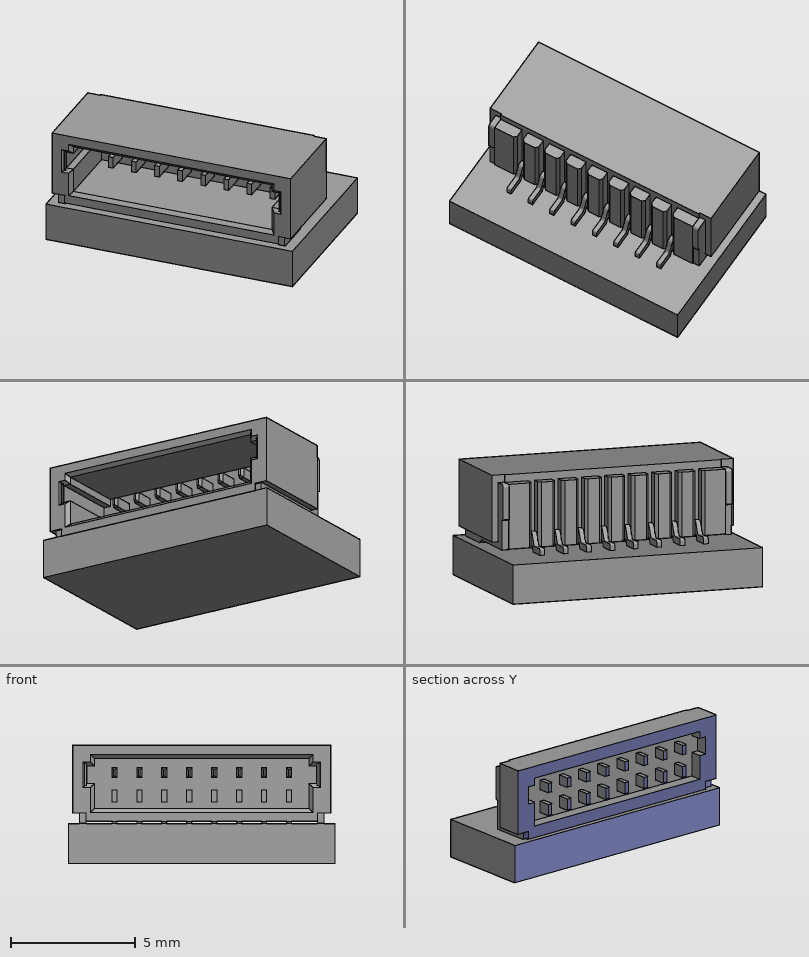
import cadquery as cq

board_width = 10.67
board_depth = 6.84
board_top = 1.6

housing_top = 4.74
housing_front = -3.19
housing_half_width = 5.16
core_half_width = 4.63
core_bottom = 1.69
core_back = 0.62
wing_bottom = 2.02
wing_back = 0.55
rear_wall_back = 1.09
rear_wall_bottom = 1.79
rear_wall_top = 4.43

mouth_half_width = 4.45
mouth_bottom = 2.05
mouth_top = 4.36
key_half_width = 4.75
key_bottom = 3.05
key_top = 4.07
flare = 0.15
key_step_inset = 0.06
key_step_depth = 0.13
cavity_back = -0.1

contact_count = 8
contact_span = 7.0
contact_pitch = contact_span / (contact_count - 1)
contact_width = 0.2
upper_pin_bottom = 3.44
upper_pin_top = 3.84
lower_pin_bottom = 2.46
lower_pin_top = 2.95
pin_tip = -1.07
pin_taper_length = 0.16
pin_taper_inset = 0.06
groove_width = 0.28
groove_flare = 0.12
foot_end = 1.86
foot_thickness = 0.27
foot_edge_radius = 0.09
heel = 1.1
bend_start = 1.28
bend_length = 0.11
bend_rise = 0.06
leg_slope = 2.0
crown_start = 0.99
crown_flat_back = 0.82
crown_flat_front = 0.79
crown_rise = 0.11
crown_radius = 0.21
crown_drop = 0.17
underside_rise = 0.11

tab_width = 0.27
tab_back = 1.12
tab_waist_back = 1.02
tab_waist_top = 3.01
tab_bottom = 1.75
tab_foot_back = -1.55
tab_foot_ramp = 0.22
tab_front = -3.17
tab_top_radius = 0.14
tab_front_radius = 0.09


def box(x_range, y_range, z_range):
    """Box between the given limits along each axis."""
    size = [high - low for low, high in (x_range, y_range, z_range)]
    corner = (x_range[0], y_range[0], z_range[0])
    return cq.Workplane("XY").box(*size, centered=False).translate(corner)


def mirrored_box(half_width, y_range, z_range):
    """Box that is symmetric about X = 0."""
    return box((-half_width, half_width), y_range, z_range)


def cavity_outline(inset):
    """Points of the cavity outline in X and Z, moved inwards by the inset."""
    right_side = [
        (mouth_half_width - inset, mouth_bottom + inset),
        (mouth_half_width - inset, key_bottom + inset),
        (key_half_width - inset, key_bottom + inset),
        (key_half_width - inset, key_top - inset),
        (mouth_half_width - inset, key_top - inset),
        (mouth_half_width - inset, mouth_top - inset),
    ]
    left_side = [(-x, z) for x, z in reversed(right_side)]
    return right_side + left_side


def outline_wire(points, y):
    """Closed wire through X, Z points in the plane at the given Y."""
    return cq.Wire.makePolygon([cq.Vector(x, y, z) for x, z in points], close=True)


def rectangle_wire(x_range, z_range, y):
    """Closed rectangle in the plane at the given Y."""
    (left, right), (low, high) = x_range, z_range
    return outline_wire([(left, low), (right, low), (right, high), (left, high)], y)


def make_cavity():
    """Flared mouth, straight pocket and the small step in each key slot."""
    flare_back = housing_front + flare
    mouth = outline_wire(cavity_outline(0), housing_front)
    throat = outline_wire(cavity_outline(flare), flare_back)
    lead_in = cq.Workplane(cq.Solid.makeLoft([mouth, throat], True))
    depth = cq.Vector(0, cavity_back - flare_back, 0)
    pocket = cq.Workplane(cq.Solid.extrudeLinear(throat, [], depth))
    step = box(
        (key_half_width - key_step_depth, key_half_width - key_step_inset),
        (housing_front, housing_front + key_step_depth),
        (key_bottom + key_step_inset, key_top - key_step_inset),
    )
    return lead_in.union(pocket).union(step).union(step.mirror("YZ"))


def make_groove(x):
    """Vertical groove in the rear wall with flared edges, clearing one contact leg."""
    half = groove_width / 2
    flare_start = rear_wall_back - groove_flare
    return (
        cq.Workplane("XY", origin=(x, 0, rear_wall_bottom))
        .moveTo(-half, core_back)
        .lineTo(half, core_back)
        .lineTo(half, flare_start)
        .lineTo(half + groove_flare, rear_wall_back)
        .lineTo(-half - groove_flare, rear_wall_back)
        .lineTo(-half, flare_start)
        .close()
        .extrude(rear_wall_top - rear_wall_bottom)
    )


def make_solder_leg(x):
    """Foot on the board, sloping leg and rounded crown that runs into the housing."""
    foot_top = board_top + foot_thickness
    bend_end = bend_start - bend_length
    bend_top = foot_top + bend_rise
    crown_base = bend_top + (bend_end - crown_start) * leg_slope
    crown_top = crown_base + crown_rise
    heel_top = board_top + (heel - crown_start) * leg_slope
    return (
        cq.Workplane("YZ", origin=(x - contact_width / 2, 0, 0))
        .moveTo(heel, board_top)
        .lineTo(foot_end, board_top)
        .lineTo(foot_end, foot_top - foot_edge_radius)
        .radiusArc((foot_end - foot_edge_radius, foot_top), -foot_edge_radius)
        .lineTo(bend_start, foot_top)
        .tangentArcPoint((bend_end, bend_top), relative=False)
        .lineTo(crown_start, crown_base)
        .radiusArc((crown_flat_back, crown_top), -crown_radius)
        .lineTo(crown_flat_front, crown_top)
        .tangentArcPoint((core_back, crown_top - crown_drop), relative=False)
        .lineTo(core_back, heel_top + underside_rise)
        .lineTo(crown_start, heel_top)
        .close()
        .extrude(contact_width)
    )


def make_pin(x, bottom, top):
    """Square-ended pin that stands out from the back of the cavity."""
    half = contact_width / 2
    return box((x - half, x + half), (pin_tip, cavity_back), (bottom, top))


def make_tapered_pin(x, bottom, top):
    """Pin whose front end narrows evenly on all four sides."""
    half = contact_width / 2
    inset = pin_taper_inset
    taper_start = pin_tip + pin_taper_length
    shank = box((x - half, x + half), (taper_start, cavity_back), (bottom, top))
    base = rectangle_wire((x - half, x + half), (bottom, top), taper_start)
    end = rectangle_wire((x - half + inset, x + half - inset), (bottom + inset, top - inset), pin_tip)
    return shank.union(cq.Workplane(cq.Solid.makeLoft([base, end], True)))


def make_housing():
    """Insulator with its eight contacts moulded in as one solid."""
    core = mirrored_box(core_half_width, (housing_front, core_back), (core_bottom, housing_top))
    wings = mirrored_box(housing_half_width, (housing_front, wing_back), (wing_bottom, housing_top))
    rear_wall = mirrored_box(core_half_width, (core_back, rear_wall_back), (rear_wall_bottom, rear_wall_top))
    housing = core.union(wings).union(rear_wall).cut(make_cavity())
    for index in range(contact_count):
        x = (index - (contact_count - 1) / 2) * contact_pitch
        upper_pin = make_tapered_pin(x, upper_pin_bottom, upper_pin_top)
        lower_pin = make_pin(x, lower_pin_bottom, lower_pin_top)
        housing = housing.cut(make_groove(x)).union(make_solder_leg(x))
        housing = housing.union(upper_pin).union(lower_pin)
    return housing


def make_tab(inner_x):
    """L-shaped hold-down tab behind and below one wing."""
    waist_chamfer = (tab_back - tab_waist_back) / 2
    return (
        cq.Workplane("YZ", origin=(inner_x, 0, 0))
        .moveTo(wing_back, rear_wall_top)
        .lineTo(tab_back - tab_top_radius, rear_wall_top)
        .radiusArc((tab_back, rear_wall_top - tab_top_radius), tab_top_radius)
        .lineTo(tab_back, tab_waist_top)
        .lineTo(tab_waist_back, tab_waist_top - waist_chamfer)
        .lineTo(tab_waist_back, tab_bottom)
        .lineTo(tab_foot_back + tab_foot_ramp, tab_bottom)
        .lineTo(tab_foot_back, board_top)
        .lineTo(tab_front + tab_front_radius, board_top)
        .radiusArc((tab_front, board_top + tab_front_radius), tab_front_radius)
        .lineTo(tab_front, wing_bottom - tab_front_radius)
        .radiusArc((tab_front + tab_front_radius, wing_bottom), tab_front_radius)
        .lineTo(wing_back, wing_bottom)
        .close()
        .extrude(tab_width)
    )


board = mirrored_box(board_width / 2, (-board_depth / 2, board_depth / 2), (0, board_top))
housing = make_housing()
tabs = [make_tab(inner_x) for inner_x in (-core_half_width - tab_width, core_half_width)]

result = cq.Compound.makeCompound([board.val(), housing.val(), *[tab.val() for tab in tabs]])